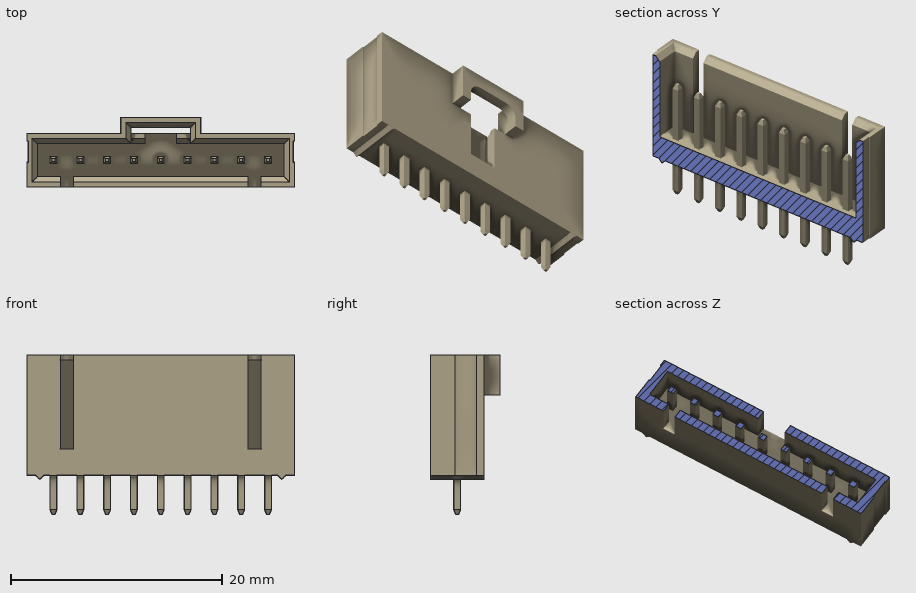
import cadquery as cq

length = 25.32
depth = 5.1
height = 11.42
wall = 1.0
floor_top = 2.5
lip_chamfer = 0.5
front_y = -depth / 2
back_y = depth / 2
cavity_length = length - 2 * wall
inner_front_y = front_y + wall
inner_back_y = back_y - wall

bump_length = 7.57
bump_depth = 1.52
bump_height = 3.82
bump_cavity_length = bump_length - 2 * wall
bump_bottom = height - bump_height
bump_back_y = back_y + bump_depth
bump_cavity_back_y = bump_back_y - wall
window_head_height = 1.57
window_top = height - window_head_height
window_radius = 1.25

back_notch_width = 2.95
front_slot_width = 1.25
front_slot_x = 8.89

groove_depth = 0.1
groove_setback = 2.35
groove_front_y = front_y + groove_setback
groove_width = 2.0

rib_x = 11.45
rib_width = 0.75
rib_height = 0.38

pin_count = 9
pin_row_length = 20.3
pin_pitch = pin_row_length / (pin_count - 1)
pin_width = 0.65
pin_tip_width = 0.28
pin_tip_length = 0.45
pin_bottom = -3.7
pin_height_in_cavity = 6.08
pin_top = floor_top + pin_height_in_cavity


def block(size_x, y_min, y_max, z_min, z_max, center_x=0.0):
    """Box centred on center_x, between the given Y and Z limits."""
    return (
        cq.Workplane("XY")
        .box(size_x, y_max - y_min, z_max - z_min, centered=(True, False, False))
        .translate((center_x, y_min, z_min))
    )


def lip_flare(mouth_length, mouth_back_y):
    """Flare rising at 45 degrees around a rectangular mouth that starts at the front wall."""
    mouth_depth = mouth_back_y - inner_front_y
    center_y = (mouth_back_y + inner_front_y) / 2
    return (
        cq.Workplane("XY", origin=(0, center_y, height - lip_chamfer))
        .rect(mouth_length, mouth_depth)
        .workplane(offset=lip_chamfer)
        .rect(mouth_length + 2 * lip_chamfer, mouth_depth + 2 * lip_chamfer)
        .loft()
    )


def sill_chamfer():
    """Wedge that bevels the inner edge of the low back wall inside the bump."""
    return (
        cq.Workplane("YZ")
        .polyline([
            (inner_back_y, bump_bottom - lip_chamfer),
            (inner_back_y + lip_chamfer, bump_bottom),
            (inner_back_y, bump_bottom),
        ])
        .close()
        .extrude(bump_cavity_length / 2, both=True)
    )


def bump_window():
    """Opening through the bump's back wall: rounded upper corners, open at the bottom."""
    opening = block(bump_cavity_length, bump_cavity_back_y, bump_back_y, bump_bottom, window_top)
    return opening.edges("|Y and >Z").fillet(window_radius)


def rib(center_x):
    """V-shaped standoff rib running the full depth of the shroud."""
    return (
        cq.Workplane("XZ", origin=(center_x, back_y, 0))
        .polyline([(-rib_width / 2, 0), (rib_width / 2, 0), (0, -rib_height)])
        .close()
        .extrude(depth)
    )


def pin_tip(z_base, z_end):
    """Tapered pin end from the full section at z_base to the small one at z_end."""
    return (
        cq.Workplane("XY", origin=(0, 0, z_base))
        .rect(pin_width, pin_width)
        .workplane(offset=z_end - z_base)
        .rect(pin_tip_width, pin_tip_width)
        .loft()
    )


def pin():
    """Square pin with a tapered tip at each end."""
    shank_bottom = pin_bottom + pin_tip_length
    shank_top = pin_top - pin_tip_length
    shank = block(pin_width, -pin_width / 2, pin_width / 2, shank_bottom, shank_top)
    return shank.union(pin_tip(shank_bottom, pin_bottom)).union(pin_tip(shank_top, pin_top))


result = block(length, front_y, back_y, 0, height)
result = result.union(block(bump_length, inner_back_y, bump_back_y, bump_bottom, height))

result = result.cut(block(cavity_length, inner_front_y, inner_back_y, floor_top, height))
result = result.cut(block(bump_cavity_length, inner_back_y, bump_cavity_back_y, bump_bottom, height))
result = result.cut(lip_flare(cavity_length, inner_back_y))
result = result.cut(lip_flare(bump_cavity_length, bump_cavity_back_y))
result = result.cut(sill_chamfer())
result = result.cut(bump_window())

result = result.cut(block(back_notch_width, inner_back_y, back_y, floor_top, bump_bottom))

for side in (-1, 1):
    result = result.cut(
        block(front_slot_width, front_y, inner_front_y, floor_top, height, side * front_slot_x)
    )
    groove_x = side * (length - groove_depth) / 2
    result = result.cut(
        block(groove_depth, groove_front_y, groove_front_y + groove_width, 0, height, groove_x)
    )
    result = result.union(rib(side * rib_x))

for index in range(pin_count):
    pin_x = index * pin_pitch - pin_row_length / 2
    result = result.union(pin().translate((pin_x, 0, 0)))